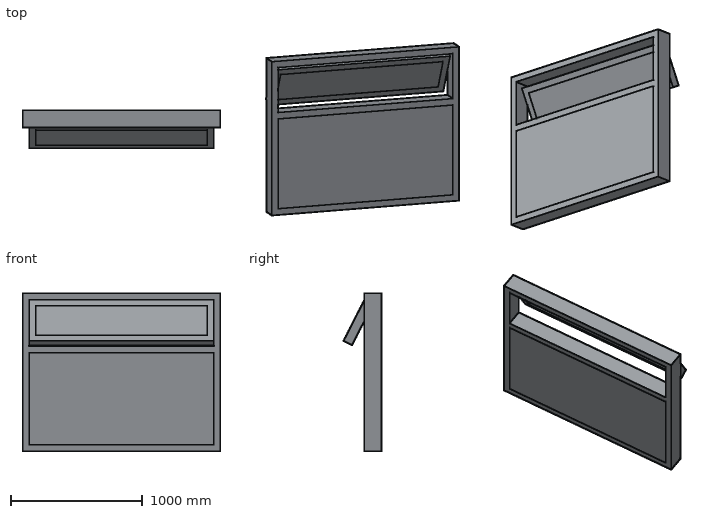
import cadquery as cq
import math

frame_width = 1500.0
frame_height = 1200.0
overall_depth = 290.0
frame_depth = 132.0
border = frame_width / 30

opening_width = frame_width - 2 * border
pane_height = 14 * border
vent_height = frame_height - 3 * border - pane_height
pane_bottom = border
vent_bottom = pane_bottom + pane_height + border
vent_top = vent_bottom + vent_height

sash_thickness = 74.0
sash_angle = 27.0
sash_reach = vent_height * math.sin(math.radians(sash_angle))
hinge_y = sash_reach - overall_depth
sash_glass_width = opening_width - 2 * border
sash_glass_height = vent_height - 2 * border


def slab(width, depth, height, front_y, bottom_z):
    """Upright block centred on X, extending from front_y toward +Y."""
    return cq.Workplane("XY").box(width, depth, height, centered=(True, False, False)).translate(
        (0, front_y, bottom_z)
    )


def swing_open(body):
    """Tilt a closed sash body outward about the hinge line, which runs along X."""
    return body.rotate((0, hinge_y, vent_top), (1, hinge_y, vent_top), -sash_angle)


def make_fixed_pane():
    return slab(opening_width, frame_depth, pane_height, -frame_depth, pane_bottom)


def make_frame():
    block = slab(frame_width, frame_depth, frame_height, -frame_depth, 0)
    vent_opening = slab(opening_width, frame_depth, vent_height, -frame_depth, vent_bottom)
    return block.cut(vent_opening).cut(make_fixed_pane())


def closed_sash_glass():
    return slab(sash_glass_width, sash_thickness, sash_glass_height, hinge_y, vent_bottom + border)


def make_sash():
    block = slab(opening_width, sash_thickness, vent_height, hinge_y, vent_bottom)
    return swing_open(block.cut(closed_sash_glass()))


def make_sash_glass():
    return swing_open(closed_sash_glass())


frame = make_frame()
fixed_pane = make_fixed_pane()
sash = make_sash()
sash_glass = make_sash_glass()

result = cq.Compound.makeCompound([frame.val(), fixed_pane.val(), sash.val(), sash_glass.val()])